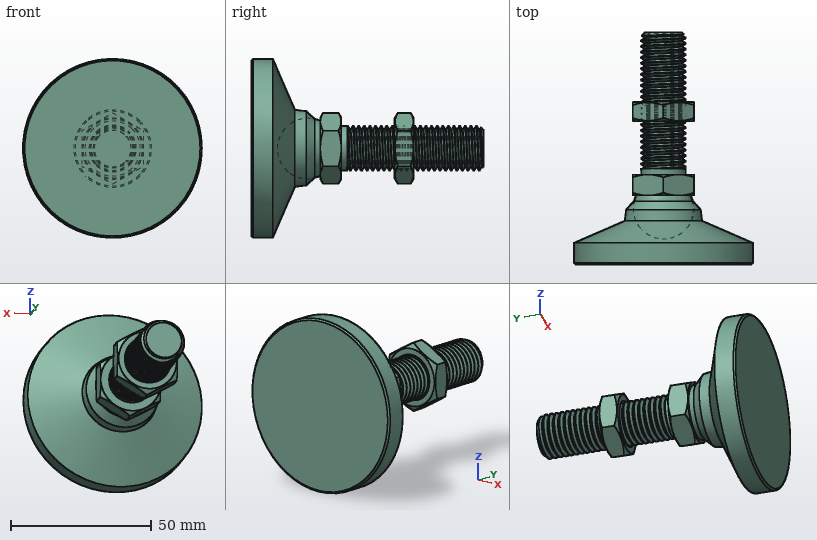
import cadquery as cq
import math


TOTAL_LENGTH = 83.0

FOOT_DIAMETER = 64.0
GROUND_CHAMFER = 0.7
RIM_TOP = 7.7
CONE_TOP = 15.6
NECK_BASE_RADIUS = 13.9
NECK_TOP = 19.6
NECK_TOP_RADIUS = 13.4
LIP_HEIGHT = 22.7

BALL_RADIUS = 10.9
BALL_CENTRE = 20.1

HEX_ACROSS_FLATS = 22.0
HEX_SIDES = 6
HEX_CHAMFER_ANGLE = 30.0
STUD_HEX_BASE = 24.65
STUD_HEX_HEIGHT = 7.5
STUD_HEX_FACE_RADIUS = HEX_ACROSS_FLATS / 2
NUT_BASE = 51.1
NUT_HEIGHT = 7.0
NUT_FACE_RADIUS = 10.6
NUT_BORE_CHAMFER = 0.4

THREAD_DIAMETER = 16.0
THREAD_PITCH = THREAD_DIAMETER / 8
CREST_WIDTH = THREAD_PITCH / 8
THREAD_DEPTH = 1.4
THREAD_START = 34.2
RIDGE_PHASE = 32.9
FLANK_HALF_ANGLE = 30.0
END_CHAMFER = 1.5
RIDGE_OVERLAP = 0.04

FLANK_SLOPE = math.tan(math.radians(FLANK_HALF_ANGLE))
MAJOR_RADIUS = THREAD_DIAMETER / 2
MINOR_RADIUS = MAJOR_RADIUS - THREAD_DEPTH


def revolve_about_y(points):
    """Turn a closed (radius, height) outline into a solid about the Y axis."""
    return cq.Workplane("XY").polyline(points).close().revolve(360, (0, 0), (0, 1))


def cylinder(radius, base, top):
    """A plain cylinder along Y."""
    return revolve_about_y([(0, base), (radius, base), (radius, top), (0, top)])


def ball():
    return cq.Workplane("XY").sphere(BALL_RADIUS).translate((0, BALL_CENTRE, 0))


def make_foot():
    """Conical foot whose neck closes over the ball above its centre."""
    rim_radius = FOOT_DIAMETER / 2
    lip_radius = math.sqrt(BALL_RADIUS**2 - (LIP_HEIGHT - BALL_CENTRE) ** 2)
    outline = [
        (0, 0),
        (rim_radius - GROUND_CHAMFER, 0),
        (rim_radius, GROUND_CHAMFER),
        (rim_radius, RIM_TOP),
        (NECK_BASE_RADIUS, CONE_TOP),
        (NECK_TOP_RADIUS, NECK_TOP),
        (lip_radius, LIP_HEIGHT),
        (0, LIP_HEIGHT),
    ]
    return revolve_about_y(outline).cut(ball())


def hexagon(base, height, face_radius):
    """Hexagonal prism along Y, corners on +Z and -Z, both ends chamfered down to face_radius."""
    corner_diameter = HEX_ACROSS_FLATS / math.cos(math.pi / HEX_SIDES)
    prism = (
        cq.Workplane("XZ", origin=(0, base, 0))
        .transformed(rotate=(0, 0, 90))
        .polygon(HEX_SIDES, corner_diameter)
        .extrude(-height)
    )
    corner_radius = corner_diameter / 2
    drop = (corner_radius - face_radius) * math.tan(math.radians(HEX_CHAMFER_ANGLE))
    top = base + height
    envelope = revolve_about_y([
        (0, base),
        (face_radius, base),
        (corner_radius, base + drop),
        (corner_radius, top - drop),
        (face_radius, top),
        (0, top),
    ])
    return prism.intersect(envelope)


def thread_ridge():
    """Helical ridge rooted in the shank, trimmed at the collar and by the stud's end chamfer."""
    base_radius = MINOR_RADIUS - RIDGE_OVERLAP
    half_crest = CREST_WIDTH / 2
    half_base = half_crest + (MAJOR_RADIUS - base_radius) * FLANK_SLOPE
    helix_length = TOTAL_LENGTH + THREAD_PITCH - RIDGE_PHASE
    helix = cq.Wire.makeHelix(THREAD_PITCH, helix_length, base_radius)
    ridge = (
        cq.Workplane("XZ")
        .polyline([
            (base_radius, -half_base),
            (MAJOR_RADIUS, -half_crest),
            (MAJOR_RADIUS, half_crest),
            (base_radius, half_base),
        ])
        .close()
        .sweep(cq.Workplane(obj=helix), isFrenet=True)
        .rotate((0, 0, 0), (1, 0, 0), -90)
        .translate((0, RIDGE_PHASE, 0))
    )
    envelope_radius = MAJOR_RADIUS + END_CHAMFER
    envelope = revolve_about_y([
        (0, THREAD_START),
        (envelope_radius, THREAD_START),
        (envelope_radius, TOTAL_LENGTH - 2 * END_CHAMFER),
        (MAJOR_RADIUS - END_CHAMFER, TOTAL_LENGTH),
        (0, TOTAL_LENGTH),
    ])
    return ridge.intersect(envelope)


def make_stud():
    """Ball, hexagon, plain collar and threaded shank in one piece."""
    hex_top = STUD_HEX_BASE + STUD_HEX_HEIGHT
    end_radius = MAJOR_RADIUS - END_CHAMFER
    core = revolve_about_y([
        (0, hex_top),
        (MAJOR_RADIUS, hex_top),
        (MAJOR_RADIUS, THREAD_START),
        (MINOR_RADIUS, THREAD_START),
        (MINOR_RADIUS, TOTAL_LENGTH - MINOR_RADIUS + end_radius),
        (end_radius, TOTAL_LENGTH),
        (0, TOTAL_LENGTH),
    ])
    ball_below_hex = ball().intersect(cylinder(BALL_RADIUS, 0, STUD_HEX_BASE))
    stud_hexagon = hexagon(STUD_HEX_BASE, STUD_HEX_HEIGHT, STUD_HEX_FACE_RADIUS)
    return core.union(stud_hexagon).union(ball_below_hex).union(thread_ridge())


def make_lock_nut(stud):
    """Hexagon nut with countersunk bore ends and an internal thread matching the stud."""
    nut_top = NUT_BASE + NUT_HEIGHT
    mouth_radius = MAJOR_RADIUS + NUT_BORE_CHAMFER
    mouth_depth = mouth_radius - MINOR_RADIUS
    bore = revolve_about_y([
        (0, NUT_BASE),
        (mouth_radius, NUT_BASE),
        (MINOR_RADIUS, NUT_BASE + mouth_depth),
        (MINOR_RADIUS, nut_top - mouth_depth),
        (mouth_radius, nut_top),
        (0, nut_top),
    ])
    return hexagon(NUT_BASE, NUT_HEIGHT, NUT_FACE_RADIUS).cut(bore).cut(stud)


foot = make_foot()
stud = make_stud()
lock_nut = make_lock_nut(stud)

result = cq.Compound.makeCompound([
    foot.solids().val(),
    stud.solids().val(),
    lock_nut.solids().val(),
])